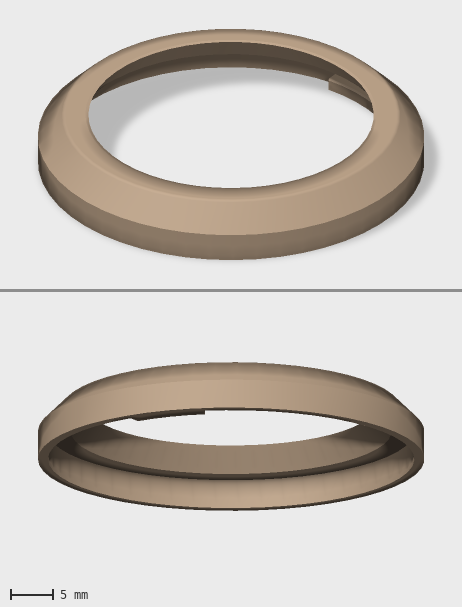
import cadquery as cq

outer_radius = 23.0
height = 6.5
rim_height = 3.45
cavity_radius = 21.8
cavity_depth = rim_height
throat_radius = 19.1
bore_radius = 16.97
top_outer_fillet = 0.6
bore_chamfer = 0.35
bore_chamfer_drop = 0.1

tab_inner_radius = 20.25
tab_height = 1.3
tab_chamfer = 0.2
tab_center_angle = 90.0
tab_span = 24.4


def revolve_profile(points, angle=360.0):
    """Revolve a closed (radius, height) outline about Z, starting at +X."""
    profile = cq.Workplane("XZ").polyline(points).close()
    return profile.revolve(angle, (0, 0, 0), (0, 1, 0))


def make_ring():
    top_radius = outer_radius - (height - rim_height)
    ring = revolve_profile([
        (cavity_radius, 0),
        (outer_radius, 0),
        (outer_radius, rim_height),
        (top_radius, height),
        (bore_radius + bore_chamfer, height),
        (bore_radius, height - bore_chamfer_drop),
        (throat_radius, cavity_depth),
        (cavity_radius, cavity_depth),
    ])
    top_edge = cq.selectors.RadiusNthSelector(-1)
    return ring.faces(">Z").edges(top_edge).fillet(top_outer_fillet)


def make_tab():
    root_radius = (cavity_radius + outer_radius) / 2
    tab = revolve_profile([
        (tab_inner_radius, 0),
        (root_radius, 0),
        (root_radius, tab_height + tab_chamfer),
        (tab_inner_radius + tab_chamfer, tab_height + tab_chamfer),
        (tab_inner_radius, tab_height),
    ], tab_span)
    return tab.rotate((0, 0, 0), (0, 0, 1), tab_center_angle - tab_span / 2)


result = make_ring().union(make_tab())